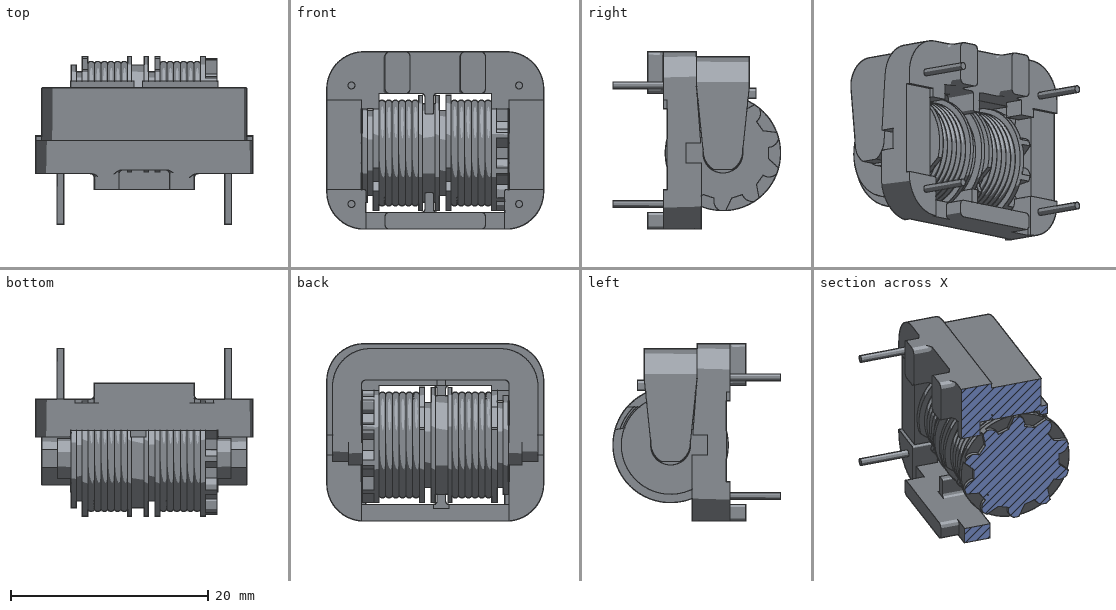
import cadquery as cq
import math


FRAME_HALF_WIDTH = 11.0
FRAME_TOP = 10.27
FRAME_BOTTOM = -7.72
CORNER_RADIUS = 3.8
FRAME_FRONT = -6.03
PANEL_FRONT = -5.65
FRAME_BACK = -2.18
FRAME_TOP_BACK = -2.68
SLOPE_TOP = 6.82

WINDOW_HALF_WIDTH = 7.48
WINDOW_TOP = 6.0
WINDOW_BOTTOM = -6.0
PILLAR_TOP = 5.37
PILLAR_BOTTOM = -3.72
FOOT_INNER = 7.05
FOOT_LIP_BACK = -3.37
FOOT_LIP_CORNER = 0.13
SHOULDER_INNER = 5.7
SHOULDER_BOTTOM = 4.47
SHOULDER_BACK = -3.95
BAR_BACK = -2.85
NOTCH_HALF_HEIGHT = 1.03
NOTCH_FRONT = -3.76

TONGUE_CENTRE = -0.62
TONGUE_HALF_WIDTH = 0.45
LOWER_TONGUE_FRONT = -5.43
TONGUE_FLARE = 0.33
TONGUE_PAD = 0.45
TONGUE_CORNER = 0.13
UPPER_TONGUE_END = 3.95
LOWER_TONGUE_END = -4.03

BLOCK_FRONT = -7.63
BLOCK_OUTER = 5.08
BLOCK_INNER = 2.55
BLOCK_MIDDLE = (BLOCK_OUTER + BLOCK_INNER) / 2
BLOCK_CORNER = 0.5
BLOCK_FOOT_FILLET = 0.4
FOOT_PLATE = 0.22
BAR_BLOCK_CORNER = 0.45

PIN_RADIUS = 0.35
PIN_X = 8.5
PIN_HEIGHTS = (6.85, -5.17)
PIN_END = -11.15

HOOD_SIDE_INSET = 0.6
HOOD_TOP_INSET = 0.5
HOOD_HALF_WIDTH = FRAME_HALF_WIDTH - HOOD_SIDE_INSET
HOOD_TOP = FRAME_TOP - HOOD_TOP_INSET
HOOD_HALF_DEPTH = -FRAME_TOP_BACK
LEG_HALF_DEPTH = 1.95
LEG_ROUND_TOP = -0.22
LEG_ROUND_MIDDLE = (1.58, -1.08)
LEG_END_HALF_DEPTH = 0.92
LEG_BOTTOM = -1.7

LIP_BACK = 3.37
LIP_TOP = 6.58
LIP_BOTTOM = 5.52
LIP_CORNER = 0.46
LIP_GAP_HALF_WIDTH = 0.45
LIP_ROOT = 0.22

FLANGE_RADIUS = 5.85
HUB_RADIUS = 5.0
GROOVE_RADIUS = 4.31
CORE_RADIUS = 2.02
CORE_HALF_LENGTH = 8.8
LEFT_FLANGE = (-6.3, -5.72)
RIGHT_FLANGE = (1.08, 1.6)
END_FLANGE = (5.7, 6.23)
MIDDLE_FLANGES = ((-1.7, -1.28), (-0.02, 0.42))
END_DISC = (-7.41, -6.89)
GEAR_END = 7.4
BACK_OPENING = ((3.05, 3.87), (6.15, 3.87), (6.15, 1.45), (4.5, 1.75))
FRONT_OPENING = ((-5.72, -1.47), (-3.95, -2.9), (-4.4, -3.9), (-6.15, -3.9), (-6.15, -1.47))

TURNS = 6
COIL_RADIUS = 5.37
COIL_VALLEY_RADIUS = 5.15

GEAR_TEETH = 10
GAP_OUTER_HALF_WIDTH = 1.55
GAP_FLOOR_HALF_WIDTH = 0.57
GAP_FLOOR_RADIUS = 4.62
GAP_OVERRUN = 0.22
GAP_FLANK_MIDDLE = (5.32, 0.88)


def box(x0, x1, y0, y1, z0, z1):
    """Box between two opposite corners, given in either order per axis."""
    size = (abs(x1 - x0), abs(y1 - y0), abs(z1 - z0))
    middle = ((x0 + x1) / 2, (y0 + y1) / 2, (z0 + z1) / 2)
    return cq.Workplane("XY").box(*size).translate(middle)


def ring(x0, x1, radius):
    """Cylinder on the bobbin axis."""
    return cq.Workplane("YZ", origin=(x0, 0, 0)).circle(radius).extrude(x1 - x0)


def along_x(points, x0, x1):
    """Prism along X from (y, z) points."""
    return cq.Workplane("YZ", origin=(x0, 0, 0)).polyline(points).close().extrude(x1 - x0)


def frame():
    body = box(-FRAME_HALF_WIDTH, FRAME_HALF_WIDTH, FRAME_BACK, FRAME_FRONT, FRAME_BOTTOM, FRAME_TOP)
    body = body.edges("|Y").fillet(CORNER_RADIUS)

    back_slope = [
        (FRAME_BACK, 0),
        (FRAME_TOP_BACK, SLOPE_TOP),
        (FRAME_TOP_BACK, FRAME_TOP),
        (FRAME_BACK, FRAME_TOP),
    ]
    body = body.cut(along_x(back_slope, -FRAME_HALF_WIDTH, FRAME_HALF_WIDTH))

    window_left, window_right = -WINDOW_HALF_WIDTH, WINDOW_HALF_WIDTH
    body = body.cut(box(window_left, window_right, FRAME_BACK, FRAME_FRONT, WINDOW_BOTTOM, WINDOW_TOP))
    body = body.cut(box(window_left, window_right, FRAME_BACK, BAR_BACK, FRAME_BOTTOM, WINDOW_BOTTOM))

    body = body.cut(box(-FOOT_INNER, FOOT_INNER, PANEL_FRONT, FRAME_FRONT, FRAME_BOTTOM, WINDOW_BOTTOM))
    body = body.cut(box(-BLOCK_MIDDLE, BLOCK_MIDDLE, PANEL_FRONT, FRAME_FRONT, WINDOW_TOP, FRAME_TOP))
    for side in (-1, 1):
        outer = side * FRAME_HALF_WIDTH
        inner = side * WINDOW_HALF_WIDTH
        body = body.cut(box(outer, inner, PANEL_FRONT, FRAME_FRONT, PILLAR_BOTTOM, PILLAR_TOP))
        notch = box(outer, inner, FRAME_BACK, NOTCH_FRONT, -NOTCH_HALF_HEIGHT, NOTCH_HALF_HEIGHT)
        body = body.cut(notch)
        foot_lip = box(inner, side * FOOT_INNER, FOOT_LIP_BACK, FRAME_FRONT, WINDOW_BOTTOM, PILLAR_BOTTOM)
        foot_lip = foot_lip.edges("|Y and >Z").edges("<X" if side > 0 else ">X").fillet(FOOT_LIP_CORNER)
        shoulder = box(
            inner, side * SHOULDER_INNER, SHOULDER_BACK, FRAME_FRONT, SHOULDER_BOTTOM, WINDOW_TOP
        )
        body = body.union(foot_lip).union(shoulder)
    return body


def tongue(root, end, front):
    """Tongue in the gap between the middle flanges, with hollow fillets and a pad at its root."""
    left = TONGUE_CENTRE - TONGUE_HALF_WIDTH
    right = TONGUE_CENTRE + TONGUE_HALF_WIDTH
    blade = box(left, right, front, FRAME_BACK, root, end)
    blade = blade.edges("|Y").edges(">Z" if end > root else "<Z").fillet(TONGUE_CORNER)
    reach = math.copysign(TONGUE_FLARE, end - root)
    pad_end = root - math.copysign(TONGUE_PAD, reach)
    pad = box(left - TONGUE_FLARE, right + TONGUE_FLARE, front, FRAME_BACK, root, pad_end)
    blade = blade.union(pad)
    hollow = 1 - math.sqrt(0.5)
    for flank, outward in ((left, -TONGUE_FLARE), (right, TONGUE_FLARE)):
        flare = (
            cq.Workplane("XZ", origin=(0, FRAME_BACK, 0))
            .moveTo(flank, root)
            .lineTo(flank + outward, root)
            .threePointArc((flank + outward * hollow, root + reach * hollow), (flank, root + reach))
            .close()
            .extrude(FRAME_BACK - front)
        )
        blade = blade.union(flare)
    return blade


def block_half(face, x_left, x_right):
    """Stand-off block, centred on X, with a filleted foot on a plate whose front lies at the given face.

    Only the stretch between x_left and x_right is kept.
    """
    half_width = (BLOCK_OUTER - BLOCK_INNER) / 2
    margin = 2 * BLOCK_FOOT_FILLET
    slack = BLOCK_FOOT_FILLET / 4
    plate_left, plate_right = -half_width - margin, half_width + margin
    plate = box(
        plate_left, plate_right, face + FOOT_PLATE, face, WINDOW_TOP - margin, FRAME_TOP + margin
    )
    block = box(-half_width, half_width, face, BLOCK_FRONT, WINDOW_TOP, FRAME_TOP)
    block = block.edges("|Y").fillet(BLOCK_CORNER)
    foot_edges = cq.selectors.BoxSelector(
        (-half_width - slack, face - slack, WINDOW_TOP - slack),
        (half_width + slack, face + slack, FRAME_TOP + slack),
    )
    solid = plate.union(block).edges(foot_edges).fillet(BLOCK_FOOT_FILLET)
    return solid.intersect(box(x_left, x_right, face + FOOT_PLATE, BLOCK_FRONT, WINDOW_TOP, FRAME_TOP))


def top_block(side):
    """Stand-off block on the top beam, rising from the frame face outside and the set-back face inside."""
    reach = (BLOCK_OUTER - BLOCK_INNER) / 2 + BLOCK_FOOT_FILLET
    outside = block_half(FRAME_FRONT, 0, side * reach)
    inside = block_half(PANEL_FRONT, -side * reach, 0)
    return outside.union(inside).translate((side * BLOCK_MIDDLE, 0, 0))


def bar_block():
    """Long stand-off block on the bottom cross bar."""
    block = box(-BLOCK_OUTER, BLOCK_OUTER, PANEL_FRONT, BLOCK_FRONT, FRAME_BOTTOM, WINDOW_BOTTOM)
    return block.edges("|Y").fillet(BAR_BLOCK_CORNER)


def pins():
    places = [(side * PIN_X, height) for side in (-1, 1) for height in PIN_HEIGHTS]
    root = PANEL_FRONT
    sketch = cq.Workplane("XZ", origin=(0, root, 0)).pushPoints(places).circle(PIN_RADIUS)
    return sketch.extrude(root - PIN_END)


def hood():
    """Inverted U over the bobbin; its legs narrow downward to a rounded end."""
    shell = box(-HOOD_HALF_WIDTH, HOOD_HALF_WIDTH, -HOOD_HALF_DEPTH, HOOD_HALF_DEPTH, LEG_BOTTOM, HOOD_TOP)
    shell = shell.edges("|Y and >Z").fillet(CORNER_RADIUS)
    opening = box(
        -WINDOW_HALF_WIDTH, WINDOW_HALF_WIDTH, -HOOD_HALF_DEPTH, HOOD_HALF_DEPTH, LEG_BOTTOM, WINDOW_TOP
    )
    round_y, round_z = LEG_ROUND_MIDDLE
    side_profile = (
        cq.Workplane("YZ", origin=(-HOOD_HALF_WIDTH, 0, 0))
        .moveTo(-HOOD_HALF_DEPTH, HOOD_TOP)
        .lineTo(HOOD_HALF_DEPTH, HOOD_TOP)
        .lineTo(HOOD_HALF_DEPTH, SLOPE_TOP)
        .lineTo(LEG_HALF_DEPTH, LEG_ROUND_TOP)
        .threePointArc((round_y, round_z), (LEG_END_HALF_DEPTH, LEG_BOTTOM))
        .lineTo(-LEG_END_HALF_DEPTH, LEG_BOTTOM)
        .threePointArc((-round_y, round_z), (-LEG_HALF_DEPTH, LEG_ROUND_TOP))
        .lineTo(-HOOD_HALF_DEPTH, SLOPE_TOP)
        .close()
        .extrude(2 * HOOD_HALF_WIDTH)
    )
    return shell.cut(opening).intersect(side_profile)


def back_lip():
    """Rim on the back of the hood, split by a gap in line with the tongues."""
    front = HOOD_HALF_DEPTH - LIP_ROOT
    lip = box(-WINDOW_HALF_WIDTH, WINDOW_HALF_WIDTH, front, LIP_BACK, LIP_BOTTOM, LIP_TOP)
    lip = lip.edges("|Y and >Z").fillet(LIP_CORNER)
    lip = lip.cut(box(-SHOULDER_INNER, SHOULDER_INNER, front, LIP_BACK, LIP_BOTTOM, WINDOW_TOP))
    gap_left = TONGUE_CENTRE - LIP_GAP_HALF_WIDTH
    gap_right = TONGUE_CENTRE + LIP_GAP_HALF_WIDTH
    return lip.cut(box(gap_left, gap_right, HOOD_HALF_DEPTH, LIP_BACK, LIP_BOTTOM, LIP_TOP))


def coil(x0, x1):
    """Wound section: one round crest per turn."""
    pitch = (x1 - x0) / TURNS
    profile = cq.Workplane("XY").moveTo(x0, 0).lineTo(x0, COIL_VALLEY_RADIUS)
    for turn in range(TURNS):
        crest = (x0 + (turn + 0.5) * pitch, COIL_RADIUS)
        profile = profile.threePointArc(crest, (x0 + (turn + 1) * pitch, COIL_VALLEY_RADIUS))
    return profile.lineTo(x1, 0).close().revolve(360, (0, 0, 0), (1, 0, 0))


def notched_flange(x0, x1):
    """Flange with wire openings at the upper back and the lower front of its rim."""
    flange = ring(x0, x1, FLANGE_RADIUS)
    for opening in (BACK_OPENING, FRONT_OPENING):
        flange = flange.cut(along_x(opening, x0, x1))
    return flange.union(ring(x0, x1, GROOVE_RADIUS))


def gear():
    """Wheel whose teeth have one flat and one rounded flank."""
    wheel = ring(END_FLANGE[1], GEAR_END, FLANGE_RADIUS)
    outside = FLANGE_RADIUS + GAP_OVERRUN
    rim = math.sqrt(FLANGE_RADIUS ** 2 - GAP_OUTER_HALF_WIDTH ** 2)
    gap = (
        cq.Workplane("YZ", origin=(END_FLANGE[1], 0, 0))
        .moveTo(GAP_FLOOR_RADIUS, -GAP_FLOOR_HALF_WIDTH)
        .lineTo(rim, -GAP_OUTER_HALF_WIDTH)
        .lineTo(outside, -GAP_OUTER_HALF_WIDTH)
        .lineTo(outside, GAP_OUTER_HALF_WIDTH)
        .lineTo(rim, GAP_OUTER_HALF_WIDTH)
        .threePointArc(GAP_FLANK_MIDDLE, (GAP_FLOOR_RADIUS, GAP_FLOOR_HALF_WIDTH))
        .close()
        .extrude(GEAR_END - END_FLANGE[1])
    )
    for tooth in range(GEAR_TEETH):
        wheel = wheel.cut(gap.rotate((0, 0, 0), (1, 0, 0), tooth * 360 / GEAR_TEETH))
    return wheel


def bobbin():
    spool = ring(-CORE_HALF_LENGTH, CORE_HALF_LENGTH, CORE_RADIUS)
    spool = spool.union(ring(*END_DISC, HUB_RADIUS))
    spool = spool.union(ring(END_DISC[1], LEFT_FLANGE[0], GROOVE_RADIUS))
    spool = spool.union(notched_flange(*LEFT_FLANGE))
    spool = spool.union(coil(LEFT_FLANGE[1], MIDDLE_FLANGES[0][0]))
    for flange in (*MIDDLE_FLANGES, END_FLANGE):
        spool = spool.union(ring(*flange, FLANGE_RADIUS))
    spool = spool.union(ring(MIDDLE_FLANGES[0][1], MIDDLE_FLANGES[1][0], HUB_RADIUS))
    spool = spool.union(ring(MIDDLE_FLANGES[1][1], RIGHT_FLANGE[0], GROOVE_RADIUS))
    spool = spool.union(notched_flange(*RIGHT_FLANGE))
    spool = spool.union(coil(RIGHT_FLANGE[1], END_FLANGE[0]))
    return spool.union(gear())


result = (
    frame()
    .union(top_block(-1))
    .union(top_block(1))
    .union(bar_block())
    .union(tongue(WINDOW_TOP, UPPER_TONGUE_END, PANEL_FRONT))
    .union(tongue(WINDOW_BOTTOM, LOWER_TONGUE_END, LOWER_TONGUE_FRONT))
    .union(pins())
    .union(hood())
    .union(back_lip())
    .union(bobbin())
)